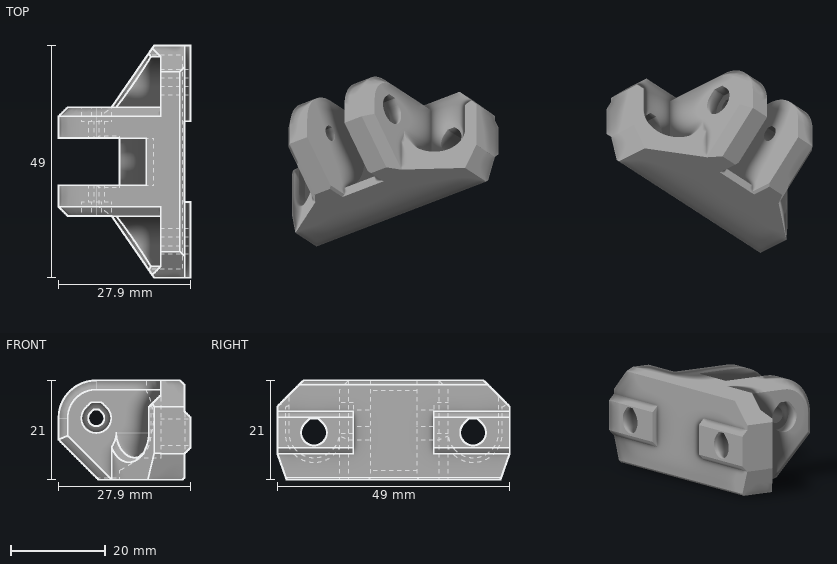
import cadquery as cq
import math

length = 49.0
height = 21.0
half_length = length / 2

plate_front_x = 21.55
plate_back_x = 26.6
top_corner = 5.55
bottom_corner_y = 1.95
bottom_corner_z = 5.6
back_top_chamfer = 1.0
bottom_edge_chamfer = 0.5

pad_height = 1.25
pad_half_width = 4.45
pad_inner_y = 8.5

pivot_x = 8.0
pivot_z = height - pivot_x
lug_inner_y = 4.95
lug_outer_y = 11.45
lug_chamfer = 1.95
lug_nose_cut = 8.55
pin_radius = 1.65
pin_head_radius = 3.15
pin_head_depth = 3.0

knuckle_radius = 12.0
gap_bottom_x = 12.85
gap_top_x = 18.45

screw_y = 16.75
screw_z = 10.0
screw_radius = 2.7
pocket_radius = screw_y - lug_outer_y
pocket_chamfer = 1.0

gusset_root_x = 11.2
gusset_tip_x = 20.2
gusset_top_z = 17.9

roof_ratio = 1.07

overrun = 4.9


def box(x_range, y_range, z_range):
    """Axis-aligned box between the given limits."""
    sizes = [high - low for low, high in (x_range, y_range, z_range)]
    corner = (x_range[0], y_range[0], z_range[0])
    return cq.Workplane("XY").box(*sizes, centered=False).translate(corner)


def roofed_outline(sketch_plane, radius):
    """Circle with a flat-topped 45 degree roof, centred on the plane's origin."""
    tangent = radius * math.sqrt(0.5)
    roof_height = radius * roof_ratio
    roof_half_width = 2 * tangent - roof_height
    return (
        sketch_plane.moveTo(-tangent, tangent)
        .threePointArc((0, -radius), (tangent, tangent))
        .lineTo(roof_half_width, roof_height)
        .lineTo(-roof_half_width, roof_height)
        .close()
    )


def end_outline():
    """Whole block seen along X, extruded over its full depth."""
    bottom_half = half_length - bottom_corner_y
    top_half = half_length - top_corner
    points = [
        (bottom_half, 0),
        (half_length, bottom_corner_z),
        (half_length, height - top_corner),
        (top_half, height),
    ]
    mirrored = [(-y, z) for y, z in reversed(points)]
    return cq.Workplane("YZ").polyline(points + mirrored).close().extrude(plate_back_x + pad_height)


def plate():
    """Mounting plate with its bevelled long back edges."""
    profile = [
        (plate_front_x, 0),
        (plate_back_x - bottom_edge_chamfer, 0),
        (plate_back_x, bottom_edge_chamfer),
        (plate_back_x, height - back_top_chamfer),
        (plate_back_x - back_top_chamfer, height),
        (plate_front_x, height),
    ]
    slab = cq.Workplane("XZ").polyline(profile).close().extrude(half_length, both=True)
    return slab.intersect(end_outline())


def pad():
    """Locating pad at the +Y end of the plate's back."""
    profile = [
        (plate_front_x, screw_z - pad_half_width),
        (plate_back_x, screw_z - pad_half_width),
        (plate_back_x + pad_height, screw_z - pad_half_width + pad_height),
        (plate_back_x + pad_height, screw_z + pad_half_width - pad_height),
        (plate_back_x, screw_z + pad_half_width),
        (plate_front_x, screw_z + pad_half_width),
    ]
    plane = cq.Workplane("XZ", origin=(0, pad_inner_y, 0))
    return plane.polyline(profile).close().extrude(pad_inner_y - half_length)


def lug():
    """Solid lug from the mid plane to +Y, chamfered around its outer face."""
    arc_middle = pivot_x * (1 - math.sqrt(0.5))
    base_z = -overrun
    back_x = plate_front_x + overrun
    outline = (
        cq.Workplane("XZ")
        .moveTo(0, lug_nose_cut)
        .lineTo(0, pivot_z)
        .threePointArc((arc_middle, height - arc_middle), (pivot_x, height))
        .lineTo(back_x, height)
        .lineTo(back_x, base_z)
        .lineTo(lug_nose_cut + overrun, base_z)
        .close()
    )
    chamfered = outline.extrude(-lug_outer_y).faces(">Y").chamfer(lug_chamfer)
    return chamfered.intersect(box((0, plate_front_x), (0, lug_outer_y), (0, height)))


def gusset():
    """Gusset on the +Y side with its chamfered screw-head pocket."""
    slope = (gusset_tip_x - gusset_root_x) / (half_length - lug_outer_y)
    start_y = lug_outer_y - overrun
    end_y = half_length + overrun
    blank = (
        cq.Workplane("XY")
        .moveTo(gusset_root_x - slope * overrun, start_y)
        .lineTo(gusset_tip_x + slope * overrun, end_y)
        .lineTo(plate_back_x, end_y)
        .lineTo(plate_back_x, start_y)
        .close()
        .extrude(height)
    )
    pocket = (
        cq.Workplane("YZ")
        .moveTo(screw_y - pocket_radius, height + overrun)
        .lineTo(screw_y - pocket_radius, screw_z)
        .threePointArc((screw_y, screw_z - pocket_radius), (screw_y + pocket_radius, screw_z))
        .lineTo(screw_y + pocket_radius, height + overrun)
        .close()
        .extrude(plate_front_x)
    )
    slanted_normal = cq.Vector(-1, slope, 0)
    slanted_face = blank.cut(pocket).faces(cq.selectors.DirectionMinMaxSelector(slanted_normal, True))
    rim_limit = pocket_radius + overrun / 2
    rim = [
        edge
        for edge in slanted_face.edges().vals()
        if abs(edge.Center().y - screw_y) < rim_limit and 0 < edge.Center().z < height
    ]
    blank = slanted_face.newObject(rim).chamfer(pocket_chamfer)
    top_slope = (
        cq.Workplane("XZ", origin=(0, screw_y, 0))
        .moveTo(plate_front_x, gusset_top_z)
        .lineTo(plate_front_x, height)
        .lineTo(0, height)
        .lineTo(0, gusset_top_z - plate_front_x)
        .close()
        .extrude(screw_y - half_length)
    )
    limits = box((0, plate_front_x), (lug_outer_y, half_length), (0, height))
    return blank.cut(top_slope).intersect(limits).intersect(end_outline())


def knuckle_gap():
    """Cutter between the lugs, rounded about the pivot where the knuckle swings."""
    bottom_arc_z = pivot_z - math.sqrt(knuckle_radius**2 - (gap_bottom_x - pivot_x) ** 2)
    top_arc_z = pivot_z + math.sqrt(knuckle_radius**2 - (gap_top_x - pivot_x) ** 2)
    outline = (
        cq.Workplane("XZ")
        .moveTo(-overrun, 0)
        .lineTo(gap_bottom_x, 0)
        .lineTo(gap_bottom_x, bottom_arc_z)
        .threePointArc((pivot_x + knuckle_radius, pivot_z), (gap_top_x, top_arc_z))
        .lineTo(gap_top_x, height)
        .lineTo(-overrun, height)
        .close()
    )
    return outline.extrude(lug_inner_y, both=True)


def gap_edge_bevel():
    """Cutter that bevels the lugs' inner bottom edges."""
    wide = lug_inner_y + bottom_edge_chamfer
    triangle = [(-wide, 0), (wide, 0), (0, wide)]
    return cq.Workplane("YZ").polyline(triangle).close().extrude(gap_bottom_x)


def pin_holes():
    """Pivot hole through both lugs, with a head recess in each outer face."""
    start = cq.Workplane("XZ", origin=(pivot_x, 0, pivot_z))
    cutter = roofed_outline(start, pin_radius).extrude(half_length, both=True)
    recess_y = lug_outer_y - pin_head_depth
    floor = cq.Workplane("XZ", origin=(pivot_x, recess_y, pivot_z))
    recess = roofed_outline(floor, pin_head_radius).extrude(-pin_head_depth)
    return cutter.union(recess).union(recess.mirror("XZ"))


def screw_hole():
    """Screw hole through the plate at the +Y end."""
    start = cq.Workplane("YZ", origin=(plate_front_x, screw_y, screw_z))
    return roofed_outline(start, screw_radius).extrude(plate_back_x + pad_height - plate_front_x)


result = plate()
for half_part in (pad(), lug(), gusset()):
    result = result.union(half_part).union(half_part.mirror("XZ"))

result = result.cut(knuckle_gap()).cut(gap_edge_bevel()).cut(pin_holes())
result = result.cut(screw_hole()).cut(screw_hole().mirror("XZ"))